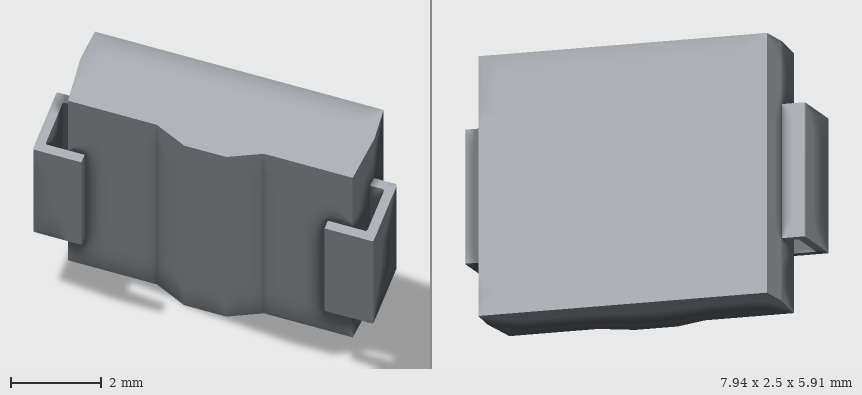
import cadquery as cq

overall_width = 7.94
overall_depth = 2.5
body_height = 5.91

parting_half_width = 3.43
back_half_width = 3.37
front_half_width = 3.32
parting_depth = 0.81
front_depth = 1.99
rib_depth = 2.34
rib_base_half_width = 1.25
rib_crest_half_width = 0.49

lead_height = 3.05
lead_depth = 1.66
lead_thickness = 0.22
foot_length = 1.135
bend_radius = 0.05

back_y = parting_depth
front_y = parting_depth - front_depth
rib_y = parting_depth - rib_depth
foot_y = parting_depth - overall_depth
arm_y = foot_y + lead_depth

half_width = overall_width / 2
arm_inner_y = arm_y - lead_thickness
foot_inner_y = foot_y + lead_thickness
wall_inner_x = half_width - lead_thickness


def extrude_centred(outline, height):
    """Extrude a closed XY outline along Z, centred on Z = 0."""
    return cq.Workplane("XY").polyline(outline).close().extrude(height / 2, both=True)


def make_body():
    right_side = [
        (rib_crest_half_width, rib_y),
        (rib_base_half_width, front_y),
        (front_half_width, front_y),
        (parting_half_width, 0),
        (back_half_width, back_y),
    ]
    left_side = [(-x, y) for x, y in reversed(right_side)]
    return extrude_centred(right_side + left_side, body_height)


def make_right_lead():
    outline = [
        (back_half_width, arm_y),
        (half_width, arm_y),
        (half_width, foot_y),
        (half_width - foot_length, foot_y),
        (half_width - foot_length, foot_inner_y),
        (wall_inner_x, foot_inner_y),
        (wall_inner_x, arm_inner_y),
        (back_half_width, arm_inner_y),
    ]
    lead = extrude_centred(outline, lead_height)
    bend_corners = [
        (half_width, arm_y),
        (half_width, foot_y),
        (wall_inner_x, foot_inner_y),
        (wall_inner_x, arm_inner_y),
    ]
    for corner in bend_corners:
        lead = lead.edges(cq.selectors.NearestToPointSelector((*corner, 0))).fillet(bend_radius)
    return lead


right_lead = make_right_lead()
left_lead = right_lead.mirror("YZ")
result = make_body().union(right_lead).union(left_lead)